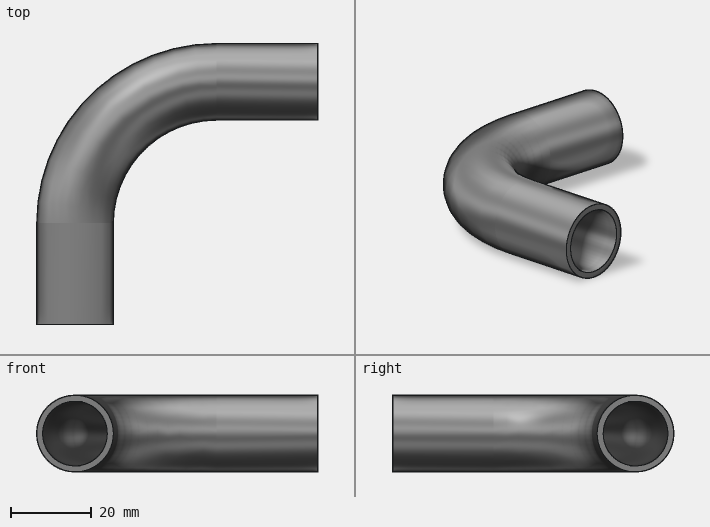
import cadquery as cq

overall_length = 69.5
outer_diameter = 19.0
bore_diameter = 16.0
leg_length = 25.0

outer_radius = outer_diameter / 2
bend_radius = overall_length - leg_length - outer_radius


def swept_rod(diameter):
    """Solid round rod: a straight leg along +Y, a 90 degree bend, a straight leg along +X."""
    centreline = (
        cq.Workplane("XY")
        .lineTo(0, leg_length)
        .radiusArc((bend_radius, leg_length + bend_radius), bend_radius)
        .lineTo(bend_radius + leg_length, leg_length + bend_radius)
    )
    return cq.Workplane("XZ").circle(diameter / 2).sweep(centreline)


result = swept_rod(outer_diameter).cut(swept_rod(bore_diameter))